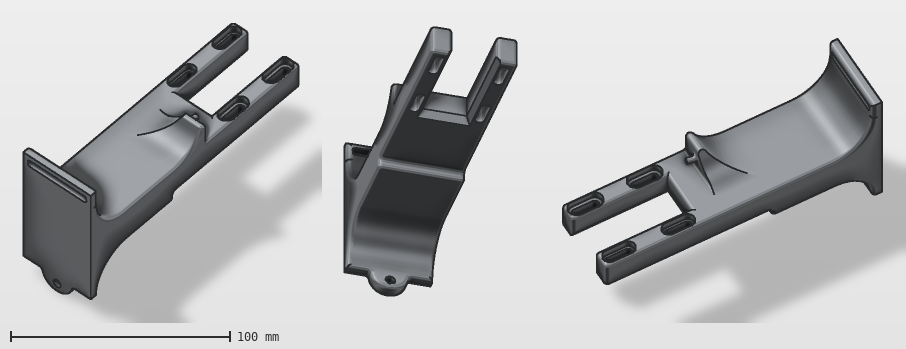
import cadquery as cq
import math


WIDTH = 41.0
LENGTH = 145.0
EDGE_RADIUS = 2.0

PLATE_THICKNESS = 5.0
PLATE_TOP = 30.0
PLATE_BOTTOM = -40.0
PLATE_TOP_RADIUS = 2.5
TAB_RADIUS = 9.0
TAB_ROOT_RADIUS = 2.0
TAB_BOTTOM = PLATE_BOTTOM - TAB_RADIUS
TAB_HOLE_DIAMETER = 4.5
TAB_HOLE_Z = -44.0
STRAP_SLOT_WIDTH = 35.6
STRAP_SLOT_HEIGHT = 4.0
STRAP_SLOT_Z = 25.0
STRAP_SLOT_CORNER = 1.4

BLEND_RADIUS = 20.0
BLEND_START = PLATE_THICKNESS + BLEND_RADIUS
ARM_TOP_BLEND_END = BLEND_RADIUS
HEEL_BOTTOM = PLATE_BOTTOM + BLEND_RADIUS
HEEL_END = 57.5
HEEL_ROOT_RADIUS = 2.0
ARM_BOTTOM = -15.0

PRONG_WIDTH = 10.0
FORK_ROOT = 95.0
GAP_CHAMFER_WIDTH = 2.0
GAP_CHAMFER_HEIGHT = 4.0

SLOT_WIDTH = 4.5
SLOT_LENGTH = 14.2
SLOT_ROWS = (104.1, 135.2)
COUNTERBORE_DEPTH = 4.0
SLOT_COLUMNS = ((5.0, 7.0), (36.0, 8.1))

HORN_X = 10.7
HORN_FRONT = 59.1
HORN_BACK = 80.5
HORN_FLARE_RADIUS = 19.7
HORN_RIDGE_RADIUS = 2.02
HORN_ROOT_RADIUS = 1.3

PIN_DIAMETER = 2.8
PIN_X = 29.35
PIN_Z = 6.0
PIN_LENGTH = 5.1
PIN_TILT = 11.0
PIN_ROOT_RADIUS = 2.0

NEAR = 0.01
CUT_MARGIN = 1.0


def side_profile():
    """Arm and plate seen along X, without the straight top of the plate."""
    centre_y = BLEND_START
    diagonal = BLEND_RADIUS * math.sqrt(0.5)
    top_mid = (centre_y - diagonal, BLEND_RADIUS - diagonal)
    low_mid = (centre_y - diagonal, PLATE_BOTTOM + diagonal)
    tab_end_y = centre_y - math.sqrt(BLEND_RADIUS**2 - TAB_RADIUS**2)
    root = HEEL_ROOT_RADIUS
    root_diagonal = root * (1 - math.sqrt(0.5))
    return (
        cq.Workplane("YZ")
        .moveTo(0, TAB_BOTTOM)
        .lineTo(0, ARM_TOP_BLEND_END)
        .lineTo(PLATE_THICKNESS, ARM_TOP_BLEND_END)
        .threePointArc(top_mid, (BLEND_START, 0))
        .lineTo(LENGTH, 0)
        .lineTo(LENGTH, ARM_BOTTOM)
        .lineTo(HEEL_END + root, ARM_BOTTOM)
        .threePointArc(
            (HEEL_END + root_diagonal, ARM_BOTTOM - root_diagonal),
            (HEEL_END, ARM_BOTTOM - root),
        )
        .lineTo(HEEL_END, HEEL_BOTTOM)
        .lineTo(BLEND_START, HEEL_BOTTOM)
        .threePointArc(low_mid, (tab_end_y, TAB_BOTTOM))
        .close()
        .extrude(WIDTH)
    )


def front_outline():
    """Plate with the round tab, seen along Y, as a bar as long as the part."""
    bar = cq.Workplane("XY").box(WIDTH, LENGTH, PLATE_TOP - PLATE_BOTTOM, centered=False)
    bar = bar.translate((0, 0, PLATE_BOTTOM))
    tab = (
        cq.Workplane("XZ", origin=(WIDTH / 2, 0, PLATE_BOTTOM))
        .circle(TAB_RADIUS)
        .extrude(-LENGTH)
    )
    root_box = cq.selectors.BoxSelector(
        (WIDTH / 2 - TAB_RADIUS - NEAR, -NEAR, PLATE_BOTTOM - NEAR),
        (WIDTH / 2 + TAB_RADIUS + NEAR, LENGTH + NEAR, PLATE_BOTTOM + NEAR),
    )
    return bar.union(tab).edges("|Y").edges(root_box).fillet(TAB_ROOT_RADIUS)


def fork_gap():
    gap_width = WIDTH - 2 * PRONG_WIDTH
    gap = cq.Workplane("XY").box(gap_width, LENGTH - FORK_ROOT, -ARM_BOTTOM, centered=False)
    return gap.translate((PRONG_WIDTH, FORK_ROOT, ARM_BOTTOM))


def fork_chamfer():
    """Tapered body that cuts a steep chamfer along the underside of the gap."""
    gap_width = WIDTH - 2 * PRONG_WIDTH
    double_length = 2 * (LENGTH - FORK_ROOT)
    return (
        cq.Workplane("XY", origin=(WIDTH / 2, LENGTH, ARM_BOTTOM))
        .rect(gap_width + 2 * GAP_CHAMFER_WIDTH, double_length + 2 * GAP_CHAMFER_WIDTH)
        .workplane(offset=GAP_CHAMFER_HEIGHT)
        .rect(gap_width, double_length)
        .loft()
    )


def horn():
    """Horn flaring out of the arm on its -Y and -X sides, with a round ridge."""
    flare = HORN_FLARE_RADIUS
    ridge = HORN_RIDGE_RADIUS
    root = HORN_ROOT_RADIUS
    ridge_y = HORN_BACK - ridge
    ridge_run = ridge_y - HORN_FRONT
    ridge_z = flare - math.sqrt((flare + ridge) ** 2 - ridge_run**2)
    share = flare / (flare + ridge)
    touch = (HORN_FRONT + share * ridge_run, flare + share * (ridge_z - flare))
    flare_angle = math.atan2(touch[1] - flare, touch[0] - HORN_FRONT)
    flare_mid_angle = (flare_angle - math.pi / 2) / 2
    flare_mid = (
        HORN_FRONT + flare * math.cos(flare_mid_angle),
        flare + flare * math.sin(flare_mid_angle),
    )
    root_step = root * (1 - math.sqrt(0.5))
    bar = (
        cq.Workplane("YZ", origin=(HORN_X, 0, 0))
        .moveTo(HORN_FRONT, 0)
        .threePointArc(flare_mid, touch)
        .threePointArc((ridge_y, ridge_z + ridge), (HORN_BACK, ridge_z))
        .lineTo(HORN_BACK, root)
        .threePointArc((HORN_BACK + root_step, root_step), (HORN_BACK + root, 0))
        .lineTo(HORN_BACK + root, ARM_BOTTOM / 2)
        .lineTo(HORN_FRONT, ARM_BOTTOM / 2)
        .close()
        .extrude(WIDTH - HORN_X)
    )
    flare_cutter = (
        cq.Workplane("XZ", origin=(HORN_X, 0, flare))
        .circle(flare)
        .extrude(-LENGTH)
    )
    return bar.cut(flare_cutter)


def is_rounded(edge):
    """True for the edges of the bare body that carry the edge radius."""
    centre = edge.Center()
    box = edge.BoundingBox()
    if centre.y < PLATE_THICKNESS - NEAR or centre.z > ARM_TOP_BLEND_END - NEAR:
        return False
    if box.xlen > WIDTH - NEAR:
        return abs(centre.y - HEEL_END) < NEAR and abs(centre.z - HEEL_BOTTOM) < NEAR
    in_gap = PRONG_WIDTH - NEAR < centre.x < WIDTH - PRONG_WIDTH + NEAR
    if in_gap and FORK_ROOT - NEAR < centre.y < LENGTH - NEAR:
        return centre.z > -NEAR
    on_horn = HORN_FRONT - NEAR < box.ymin and box.ymax < HORN_BACK + HORN_ROOT_RADIUS + NEAR
    return not (on_horn and centre.x < WIDTH - NEAR and centre.z > -NEAR)


def plate_top():
    """Straight upper part of the plate, above the blend into the arm."""
    block = cq.Workplane("XY").box(
        WIDTH, PLATE_THICKNESS, PLATE_TOP - ARM_TOP_BLEND_END, centered=False
    )
    block = block.faces(">Y").edges("not <Z").fillet(PLATE_TOP_RADIUS)
    return block.translate((0, 0, ARM_TOP_BLEND_END))


def strap_slot():
    slot = cq.Workplane("XY").box(STRAP_SLOT_WIDTH, 2 * PLATE_THICKNESS, STRAP_SLOT_HEIGHT)
    slot = slot.edges("|Y").fillet(STRAP_SLOT_CORNER)
    return slot.translate((WIDTH / 2, PLATE_THICKNESS, STRAP_SLOT_Z))


def tab_hole():
    return (
        cq.Workplane("XZ", origin=(WIDTH / 2, 0, TAB_HOLE_Z))
        .circle(TAB_HOLE_DIAMETER / 2)
        .extrude(-2 * PLATE_THICKNESS)
    )


def prong_slot(x, y, counterbore_width):
    """Through slot along Y with a counterbore of equal margin all round."""
    counterbore_length = SLOT_LENGTH + counterbore_width - SLOT_WIDTH
    through = (
        cq.Workplane("XY", origin=(x, y, ARM_BOTTOM - CUT_MARGIN))
        .slot2D(SLOT_LENGTH, SLOT_WIDTH, 90)
        .extrude(CUT_MARGIN - ARM_BOTTOM)
    )
    counterbore = (
        cq.Workplane("XY", origin=(x, y, -COUNTERBORE_DEPTH))
        .slot2D(counterbore_length, counterbore_width, 90)
        .extrude(COUNTERBORE_DEPTH + CUT_MARGIN)
    )
    return through.union(counterbore)


def add_pin(body):
    tilt = math.radians(PIN_TILT)
    axis = cq.Vector(math.sin(tilt), math.cos(tilt), 0)
    foot = cq.Vector(PIN_X, HORN_BACK, PIN_Z)
    embed = PIN_DIAMETER / 2
    pin = cq.Solid.makeCylinder(
        PIN_DIAMETER / 2, PIN_LENGTH + embed, foot - axis * embed, axis
    )
    reach = PIN_DIAMETER
    root_box = cq.selectors.BoxSelector(
        (PIN_X - reach, HORN_BACK - NEAR, PIN_Z - reach),
        (PIN_X + reach, HORN_BACK + NEAR, PIN_Z + reach),
    )
    return body.union(pin).edges(root_box).fillet(PIN_ROOT_RADIUS)


body = side_profile().intersect(front_outline()).cut(fork_gap()).union(horn())
body = body.edges().filter(is_rounded).fillet(EDGE_RADIUS).cut(fork_chamfer())
body = body.union(plate_top()).cut(strap_slot()).cut(tab_hole())
for slot_x, counterbore_width in SLOT_COLUMNS:
    for slot_y in SLOT_ROWS:
        body = body.cut(prong_slot(slot_x, slot_y, counterbore_width))

result = add_pin(body)